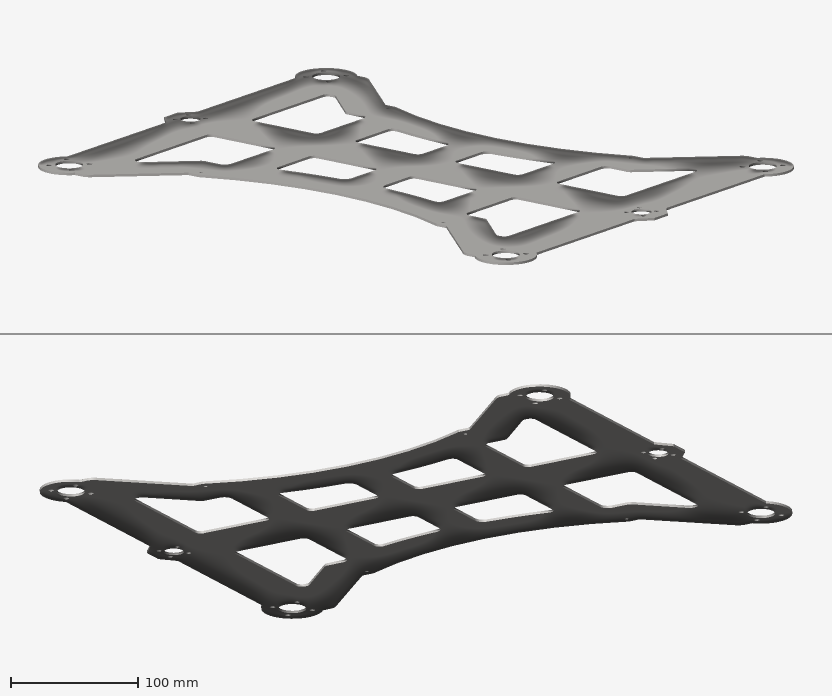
import cadquery as cq
import math

thickness = 2.0
overall_length = 486.26
overall_width = 378.42
body_half_length = 232.5
body_half_width = 181.0

lobe_radius = 24.4
lobe_x = 216.5
lobe_y = overall_width / 2 - lobe_radius
motor_bore_diameter = 22.0
motor_bolt_circle = 32.0
motor_screw_diameter = 4.5

ear_half_tip = 8.5
ear_half_root = 20.3
ear_bore_x = 223.7
ear_bore_diameter = 16.0
ear_bolt_circle = 24.0
ear_screw_diameter = 4.0

arm_outer_x = 187.5
arm_corner_radius = 10.0
waist_flat_x = 128.0
waist_arc_x = 118.0
waist_half_width = 126.5
waist_middle_half_width = 102.0
waist_hole_x = 120.0
waist_hole_y = 120.0
waist_hole_diameter = 3.0

window_near_y = 25.5
window_corner_radius = 5.0
window_large_corner_radius = 7.0
outer_window_x_min = 117.5
outer_window_x_max = 185.0
outer_window_step_x = 140.5
outer_window_step_y = 91.5
outer_window_top_x = 176.5
outer_window_top_y = 124.8
inner_window_x_min = 16.7
inner_window_x_max = 82.4
inner_window_arc_radius = 375.0
inner_window_arc_low_y = 67.4

QUARTERS = [(sx, sy) for sx in (1, -1) for sy in (1, -1)]


def extrude_outline(outline):
    return outline.close().extrude(thickness)


def round_hole(x, y, diameter):
    return cq.Workplane("XY").center(x, y).circle(diameter / 2).extrude(thickness)


def bore_with_screws(x, y, bore_diameter, bolt_circle, screw_diameter):
    """Central bore with four screw holes on the diagonals around it."""
    cutter = round_hole(x, y, bore_diameter)
    offset = bolt_circle / 2 * math.sqrt(0.5)
    for sx, sy in QUARTERS:
        cutter = cutter.union(round_hole(x + sx * offset, y + sy * offset, screw_diameter))
    return cutter


def make_body():
    """Plate with sloped arms and an arched waist on both long sides."""
    body = extrude_outline(
        cq.Workplane("XY")
        .moveTo(-body_half_length, body_half_width)
        .lineTo(-arm_outer_x, body_half_width)
        .lineTo(-waist_flat_x, waist_half_width)
        .lineTo(-waist_arc_x, waist_half_width)
        .threePointArc((0, waist_middle_half_width), (waist_arc_x, waist_half_width))
        .lineTo(waist_flat_x, waist_half_width)
        .lineTo(arm_outer_x, body_half_width)
        .lineTo(body_half_length, body_half_width)
        .lineTo(body_half_length, -body_half_width)
        .lineTo(arm_outer_x, -body_half_width)
        .lineTo(waist_flat_x, -waist_half_width)
        .lineTo(waist_arc_x, -waist_half_width)
        .threePointArc((0, -waist_middle_half_width), (-waist_arc_x, -waist_half_width))
        .lineTo(-waist_flat_x, -waist_half_width)
        .lineTo(-arm_outer_x, -body_half_width)
        .lineTo(-body_half_length, -body_half_width)
    )
    for sx, sy in QUARTERS:
        corner = (sx * arm_outer_x, sy * body_half_width, thickness / 2)
        body = body.edges(cq.selectors.NearestToPointSelector(corner)).fillet(arm_corner_radius)
    for sx, sy in QUARTERS:
        corner = (
            cq.Workplane("XY")
            .center(sx * (lobe_x + lobe_radius / 2), sy * (lobe_y + lobe_radius / 2))
            .rect(lobe_radius, lobe_radius)
            .extrude(thickness)
        )
        lobe = round_hole(sx * lobe_x, sy * lobe_y, 2 * lobe_radius)
        body = body.cut(corner).union(lobe)
    return body


def make_ears():
    """Crossbar whose tapered ends form the two side ears."""
    tip_x = overall_length / 2
    return extrude_outline(
        cq.Workplane("XY")
        .moveTo(-tip_x, ear_half_tip)
        .lineTo(-body_half_length, ear_half_root)
        .lineTo(body_half_length, ear_half_root)
        .lineTo(tip_x, ear_half_tip)
        .lineTo(tip_x, -ear_half_tip)
        .lineTo(body_half_length, -ear_half_root)
        .lineTo(-body_half_length, -ear_half_root)
        .lineTo(-tip_x, -ear_half_tip)
    )


def round_window(window, large_corner):
    """Round the corners of a window cutter, with a larger radius at one of them."""
    large_edge = cq.selectors.NearestToPointSelector(large_corner)
    other_edges = cq.selectors.StringSyntaxSelector("|Z") - large_edge
    window = window.edges(other_edges).fillet(window_corner_radius)
    return window.edges(large_edge).fillet(window_large_corner_radius)


def make_outer_window():
    window = extrude_outline(
        cq.Workplane("XY")
        .moveTo(outer_window_x_min, window_near_y)
        .lineTo(outer_window_x_max, window_near_y)
        .lineTo(outer_window_x_max, outer_window_top_y)
        .lineTo(outer_window_top_x, outer_window_top_y)
        .lineTo(outer_window_step_x, outer_window_step_y)
        .lineTo(outer_window_x_min, outer_window_step_y)
    )
    return round_window(window, (outer_window_x_min, outer_window_step_y, thickness / 2))


def inner_window_arc_y(x):
    """Height of the shallow arc, centred on the Y axis, that closes the inner window."""
    return inner_window_arc_low_y + inner_window_arc_radius - math.sqrt(inner_window_arc_radius**2 - x**2)


def make_inner_window():
    middle_x = (inner_window_x_min + inner_window_x_max) / 2
    window = extrude_outline(
        cq.Workplane("XY")
        .moveTo(inner_window_x_max, window_near_y)
        .lineTo(inner_window_x_min, window_near_y)
        .lineTo(inner_window_x_min, inner_window_arc_y(inner_window_x_min))
        .threePointArc(
            (middle_x, inner_window_arc_y(middle_x)),
            (inner_window_x_max, inner_window_arc_y(inner_window_x_max)),
        )
    )
    large_corner_y = inner_window_arc_y(inner_window_x_min)
    return round_window(window, (inner_window_x_min, large_corner_y, thickness / 2))


def in_all_quarters(cutter):
    """The cutter together with its mirror images across both centre lines."""
    pair = cutter.union(cutter.mirror("YZ"))
    return pair.union(pair.mirror("XZ"))


plate = make_body().union(make_ears())

motor_mount = bore_with_screws(
    lobe_x, lobe_y, motor_bore_diameter, motor_bolt_circle, motor_screw_diameter
)
waist_hole = round_hole(waist_hole_x, waist_hole_y, waist_hole_diameter)
for quarter_cutter in (motor_mount, waist_hole, make_outer_window(), make_inner_window()):
    plate = plate.cut(in_all_quarters(quarter_cutter))

for side in (1, -1):
    plate = plate.cut(
        bore_with_screws(
            side * ear_bore_x, 0, ear_bore_diameter, ear_bolt_circle, ear_screw_diameter
        )
    )

result = plate